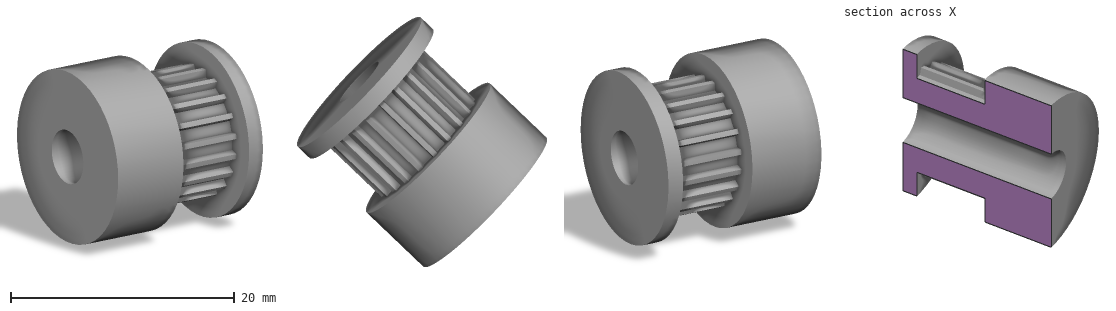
import cadquery as cq
import math

flange_diameter = 16.0
total_length = 15.75
hub_length = 7.1
end_flange_length = 1.5
bore_diameter = 5.0

tooth_count = 20
tip_radius = 6.06
floor_distance = 5.31
floor_width = 1.02
mouth_width = 1.42
toothed_length = total_length - hub_length - end_flange_length
pitch_angle = 360 / tooth_count


def cylinder_along_y(radius, start, length):
    """Cylinder on the Y axis, from y = start towards +Y."""
    base = cq.Workplane("XZ", origin=(0, start, 0))
    return base.circle(radius).extrude(-length)


def groove(angle):
    """Trapezoidal belt groove, turned about the Y axis from the +Z direction."""
    mouth_distance = math.sqrt(tip_radius**2 - (mouth_width / 2) ** 2)
    flank_slope = (mouth_width - floor_width) / (mouth_distance - floor_distance)
    outer_width = mouth_width + flank_slope * (tip_radius - mouth_distance)
    cutter = (
        cq.Workplane("XZ", origin=(0, hub_length, 0))
        .moveTo(-floor_width / 2, floor_distance)
        .lineTo(floor_width / 2, floor_distance)
        .lineTo(outer_width / 2, tip_radius)
        .lineTo(-outer_width / 2, tip_radius)
        .close()
        .extrude(-toothed_length)
    )
    return cutter.rotate((0, 0, 0), (0, 1, 0), angle)


toothed_section = cylinder_along_y(tip_radius, hub_length, toothed_length)
for index in range(tooth_count):
    toothed_section = toothed_section.cut(groove(index * pitch_angle))

hub = cylinder_along_y(flange_diameter / 2, 0, hub_length)
end_flange = cylinder_along_y(flange_diameter / 2, hub_length + toothed_length, end_flange_length)

bore = cylinder_along_y(bore_diameter / 2, 0, total_length)

result = hub.union(toothed_section).union(end_flange).cut(bore)